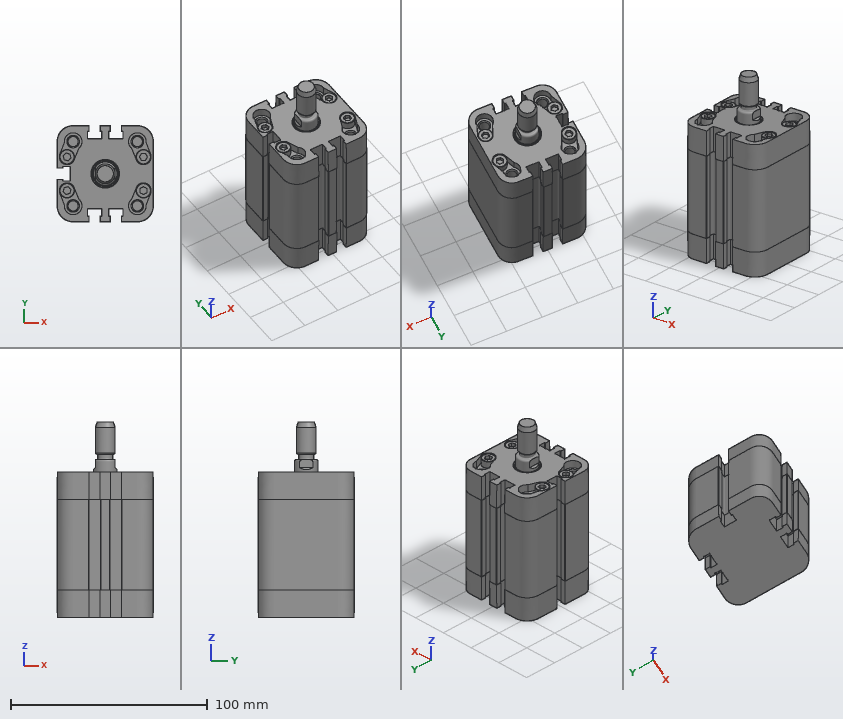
import cadquery as cq
import math


body_side = 49.0
corner_radius = 8.2
cap_height = 14.0
body_height = 74.0
barrel_height = body_height - 2 * cap_height
upper_seam_z = body_height - cap_height
cap_inset = 0.12
half_side = body_side / 2

slot_pitch = 10.9
cap_slot_mouth = 5.8
barrel_slot_mouth = 5.7
slot_inner_width = 7.2
slot_lip_thickness = 3.0
slot_depth = 6.7
barrel_mouth_chamfer = 0.3
barrel_slot_floor_radius = 0.3
barrel_slot_shift = 0.1

port_offset = half_side - corner_radius
pocket_port_diameter = 9.0
pocket_screw_diameter = 7.9
pocket_depth = 4.4
port_hole_diameter = 5.2
port_countersink_diameter = 6.4
screw_x = 19.4
screw_y = 8.6
screw_head_diameter = 7.5
screw_head_height = 4.0
screw_head_chamfer = 0.2
hex_corner_diameter = 4.1
hex_depth = 2.0

rod_diameter = 12.0
rod_end_z = 99.5
thread_diameter = 10.0
tip_diameter = 8.3
tip_height = 2.8
thread_bottom_z = 83.6
neck_diameter = 7.9
neck_end_diameter = 8.6
shoulder_z = 80.4
shoulder_fillet = 1.1
flat_width = 10.0
flat_bottom_z = 76.2

wiper_mouth_diameter = 14.5
wiper_ledge_outer_diameter = 14.0
wiper_ledge_inner_diameter = 13.7
wiper_floor_diameter = 12.5
wiper_ledge_depth = 0.1
wiper_depth = 0.4


def slot_cutter(mouth_width, height):
    """T-slot prism in the middle of the -Y side."""
    mouth = cq.Workplane("XY").box(
        mouth_width, slot_lip_thickness, height, centered=(True, False, False)
    )
    inner = cq.Workplane("XY").box(
        slot_inner_width, slot_depth - slot_lip_thickness, height, centered=(True, False, False)
    )
    cutter = mouth.union(inner.translate((0, slot_lip_thickness, 0)))
    return cutter.translate((0, -half_side, 0))


def cut_slots(body, centred_cutter, pair_offset):
    """Two slots on each Y side and one slot on the -X side."""
    for turn in (0, 180):
        for centre_x in (-pair_offset, pair_offset):
            cutter = centred_cutter.translate((centre_x, 0, 0))
            body = body.cut(cutter.rotate((0, 0, 0), (0, 0, 1), turn))
    return body.cut(centred_cutter.rotate((0, 0, 0), (0, 0, 1), -90))


def barrel_slot_cutter():
    """T-slot with rounded floor corners and a chamfered mouth, as on an extruded profile."""
    half_mouth = barrel_slot_mouth / 2
    half_flare = half_mouth + barrel_mouth_chamfer
    flare = (
        cq.Workplane("XY")
        .moveTo(-half_flare, -half_side)
        .lineTo(half_flare, -half_side)
        .lineTo(half_mouth, -half_side + barrel_mouth_chamfer)
        .lineTo(-half_mouth, -half_side + barrel_mouth_chamfer)
        .close()
        .extrude(barrel_height)
    )
    cutter = slot_cutter(barrel_slot_mouth, barrel_height)
    return cutter.faces(">Y").edges("|Z").fillet(barrel_slot_floor_radius).union(flare)


def make_barrel():
    barrel = (
        cq.Workplane("XY")
        .rect(body_side, body_side)
        .extrude(barrel_height)
        .edges("|Z")
        .fillet(corner_radius)
    )
    pair_offset = slot_pitch / 2 - barrel_slot_shift
    barrel = cut_slots(barrel, barrel_slot_cutter(), pair_offset)
    return barrel.translate((0, 0, cap_height))


def make_cap_blank():
    """Slotted cap with its seam on Z = 0, narrowing upwards."""
    draft = math.degrees(math.atan(cap_inset / cap_height))
    outline = cq.Sketch().rect(body_side, body_side).vertices().fillet(corner_radius)
    blank = cq.Workplane("XY").placeSketch(outline).extrude(cap_height, taper=draft)
    return cut_slots(blank, slot_cutter(cap_slot_mouth, cap_height), slot_pitch / 2)


def pocket_cutter(x_side, y_side):
    """Slot from the screw to the port, a wider round recess at the port, and the port hole."""
    floor_z = cap_height - pocket_depth
    port = cq.Vector(x_side * port_offset, y_side * port_offset)
    screw = cq.Vector(x_side * screw_x, y_side * screw_y)
    middle = (port + screw) / 2
    slot_angle = math.degrees(math.atan2(port.y - screw.y, port.x - screw.x))
    slot = (
        cq.Workplane("XY", origin=(middle.x, middle.y, floor_z))
        .transformed(rotate=(0, 0, slot_angle))
        .slot2D((port - screw).Length + pocket_screw_diameter, pocket_screw_diameter)
        .extrude(pocket_depth)
    )
    port_recess = (
        cq.Workplane("XY", origin=(port.x, port.y, floor_z))
        .circle(pocket_port_diameter / 2)
        .extrude(pocket_depth)
    )
    countersink = (port_countersink_diameter - port_hole_diameter) / 2
    hole_radius = port_hole_diameter / 2
    hole = (
        cq.Workplane("XZ")
        .lineTo(hole_radius, 0)
        .lineTo(hole_radius, floor_z - countersink)
        .lineTo(hole_radius + countersink, floor_z)
        .lineTo(0, floor_z)
        .close()
        .revolve()
        .translate((port.x, port.y, 0))
    )
    return slot.union(port_recess).union(hole)


def screw_head(x_side, y_side, hex_turn):
    """Socket screw head standing on the pocket floor."""
    head = (
        cq.Workplane("XY")
        .circle(screw_head_diameter / 2)
        .extrude(screw_head_height)
        .faces(">Z")
        .chamfer(screw_head_chamfer)
    )
    socket = (
        cq.Workplane("XY", origin=(0, 0, screw_head_height - hex_depth))
        .polygon(6, hex_corner_diameter)
        .extrude(hex_depth)
        .rotate((0, 0, 0), (0, 0, 1), hex_turn)
    )
    place = (x_side * screw_x, y_side * screw_y, cap_height - pocket_depth)
    return head.cut(socket).translate(place)


def rod_passage():
    """Rod hole that opens into a conical wiper recess with a narrow ledge near its mouth."""
    rod_radius = rod_diameter / 2
    floor_z = cap_height - wiper_depth
    ledge_z = cap_height - wiper_ledge_depth
    return (
        cq.Workplane("XZ")
        .lineTo(rod_radius, 0)
        .lineTo(rod_radius, floor_z)
        .lineTo(wiper_floor_diameter / 2, floor_z)
        .lineTo(wiper_ledge_inner_diameter / 2, ledge_z)
        .lineTo(wiper_ledge_outer_diameter / 2, ledge_z)
        .lineTo(wiper_mouth_diameter / 2, cap_height)
        .lineTo(0, cap_height)
        .close()
        .revolve()
    )


def make_upper_cap():
    cap = make_cap_blank().cut(rod_passage())
    screws = ((-1, 1, -15), (1, 1, 0), (-1, -1, 15), (1, -1, 30))
    for x_side, y_side, hex_turn in screws:
        cap = cap.cut(pocket_cutter(x_side, y_side))
        cap = cap.union(screw_head(x_side, y_side, hex_turn))
    return cap.translate((0, 0, upper_seam_z))


def make_lower_cap():
    return make_cap_blank().mirror("XY").translate((0, 0, cap_height))


def flat_cutter(x_side):
    """Removes one wrench flat, with a 45 degree run-out at its lower end."""
    inner_x = flat_width / 2
    reach = (rod_diameter - flat_width) / 2
    outer_x = inner_x + reach
    return (
        cq.Workplane("XZ")
        .moveTo(x_side * inner_x, flat_bottom_z)
        .lineTo(x_side * outer_x, flat_bottom_z - reach)
        .lineTo(x_side * outer_x, shoulder_z)
        .lineTo(x_side * inner_x, shoulder_z)
        .close()
        .extrude(rod_diameter / 2, both=True)
    )


def make_rod():
    rod_radius = rod_diameter / 2
    thread_radius = thread_diameter / 2
    neck_radius = neck_diameter / 2
    neck_end_radius = neck_end_diameter / 2
    neck_fillet = neck_end_radius - neck_radius
    arc_inset = 1 - math.sqrt(0.5)
    shoulder_inset = shoulder_fillet * arc_inset
    neck_inset = neck_fillet * arc_inset
    cone_bottom_z = thread_bottom_z - (thread_radius - neck_end_radius)
    rod = (
        cq.Workplane("XZ")
        .moveTo(0, upper_seam_z)
        .lineTo(rod_radius, upper_seam_z)
        .lineTo(rod_radius, shoulder_z - shoulder_fillet)
        .threePointArc(
            (rod_radius - shoulder_inset, shoulder_z - shoulder_inset),
            (rod_radius - shoulder_fillet, shoulder_z),
        )
        .lineTo(neck_end_radius, shoulder_z)
        .threePointArc(
            (neck_radius + neck_inset, shoulder_z + neck_inset),
            (neck_radius, shoulder_z + neck_fillet),
        )
        .lineTo(neck_radius, cone_bottom_z - neck_fillet)
        .threePointArc(
            (neck_radius + neck_inset, cone_bottom_z - neck_inset),
            (neck_end_radius, cone_bottom_z),
        )
        .lineTo(thread_radius, thread_bottom_z)
        .lineTo(thread_radius, rod_end_z - tip_height)
        .lineTo(tip_diameter / 2, rod_end_z)
        .lineTo(0, rod_end_z)
        .close()
        .revolve()
    )
    return rod.cut(flat_cutter(1)).cut(flat_cutter(-1))


barrel = make_barrel()
upper_cap = make_upper_cap()
lower_cap = make_lower_cap()
rod = make_rod()

result = cq.Compound.makeCompound([barrel.val(), upper_cap.val(), lower_cap.val(), rod.val()])